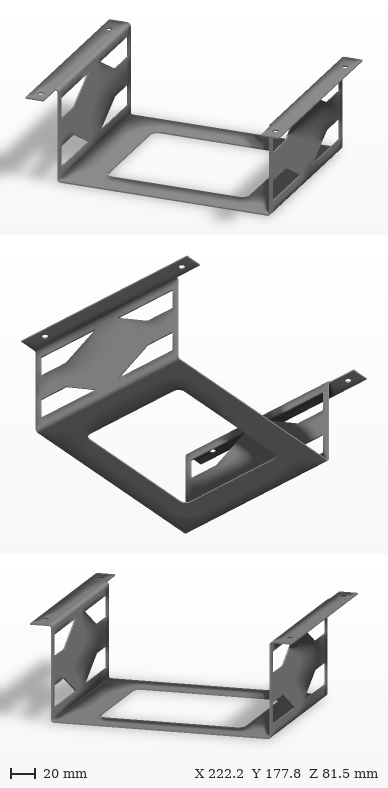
import cadquery as cq
import math

overall_width = 222.2
flange_length = 177.8
overall_height = 81.5
body_depth = 152.5
sheet = 1.2
bend_inside = 1.67
wall_span = 187.0

floor_border = 25.5
floor_opening_width = 123.8
floor_opening_radius = 6.2

hole_diameter = 5.1
hole_front_setback = 12.7
hole_rear_setback = 19.1
front_hole_span = 205.8
rear_hole_span = 207.1

window_end_margin = 5.3
window_bottom = 11.1
window_top = 72.0
window_height = 18.5
window_long_side = 59.1
window_corner_radius = 1.0
window_taper = 30.0

bend_outside = bend_inside + sheet
rear = flange_length / 2
flange_front = -rear
body_front = rear - body_depth
body_middle = rear - body_depth / 2
wall_outer = wall_span / 2
wall_inner = wall_outer - sheet
flange_root = wall_outer + bend_inside
flange_width = overall_width / 2 - flange_root


def bent_sheet():
    """Half of the bent profile, extruded over the body depth and mirrored."""
    diagonal = math.sqrt(0.5)
    floor_bend = (wall_inner - bend_inside, bend_outside)
    flange_bend = (flange_root, overall_height - bend_outside)

    def on_floor_bend(radius):
        return (floor_bend[0] + radius * diagonal, floor_bend[1] - radius * diagonal)

    def on_flange_bend(radius):
        return (flange_bend[0] - radius * diagonal, flange_bend[1] + radius * diagonal)

    half = (
        cq.Workplane("XZ", origin=(0, rear, 0))
        .moveTo(0, 0)
        .lineTo(floor_bend[0], 0)
        .threePointArc(on_floor_bend(bend_outside), (wall_outer, floor_bend[1]))
        .lineTo(wall_outer, flange_bend[1])
        .threePointArc(on_flange_bend(bend_inside), (flange_root, overall_height - sheet))
        .lineTo(overall_width / 2, overall_height - sheet)
        .lineTo(overall_width / 2, overall_height)
        .lineTo(flange_root, overall_height)
        .threePointArc(on_flange_bend(bend_outside), (wall_inner, flange_bend[1]))
        .lineTo(wall_inner, floor_bend[1])
        .threePointArc(on_floor_bend(bend_inside), (floor_bend[0], sheet))
        .lineTo(0, sheet)
        .close()
        .extrude(body_depth)
    )
    return half.union(half.mirror("YZ"))


def flange_extension(side):
    """Flat end of a flange that runs forward past the body."""
    center_x = side * (flange_root + flange_width / 2)
    center_y = (flange_front + body_front) / 2
    return (
        cq.Workplane("XY", origin=(center_x, center_y, overall_height - sheet))
        .rect(flange_width, body_front - flange_front)
        .extrude(sheet)
    )


def floor_opening():
    return (
        cq.Workplane("XY")
        .center(0, body_middle)
        .rect(floor_opening_width, body_depth - 2 * floor_border)
        .extrude(sheet)
        .edges("|Z")
        .fillet(floor_opening_radius)
    )


def mounting_holes():
    front_y = flange_front + hole_front_setback
    rear_y = rear - hole_rear_setback
    points = []
    for side in (-1, 1):
        points.append((side * front_hole_span / 2, front_y))
        points.append((side * rear_hole_span / 2, rear_y))
    return (
        cq.Workplane("XY", origin=(0, 0, overall_height - sheet))
        .pushPoints(points)
        .circle(hole_diameter / 2)
        .extrude(sheet)
    )


def wall_windows():
    """Four tapered windows, mirrored front to back and top to bottom, through both walls."""
    end_y = rear - window_end_margin
    tip_y = end_y - window_long_side
    knee_y = tip_y + window_height / math.tan(math.radians(window_taper))
    middle_z = (window_bottom + window_top) / 2
    window = (
        cq.Workplane("YZ")
        .moveTo(tip_y, window_top)
        .lineTo(end_y, window_top)
        .lineTo(end_y, window_top - window_height)
        .lineTo(knee_y, window_top - window_height)
        .close()
        .extrude(wall_outer, both=True)
        .edges("|X and >Y")
        .fillet(window_corner_radius)
    )
    upper = window.union(window.mirror("XZ", (0, body_middle, 0)))
    return upper.union(upper.mirror("XY", (0, 0, middle_z)))


result = bent_sheet()
for side in (-1, 1):
    result = result.union(flange_extension(side))
result = result.cut(floor_opening()).cut(mounting_holes()).cut(wall_windows())